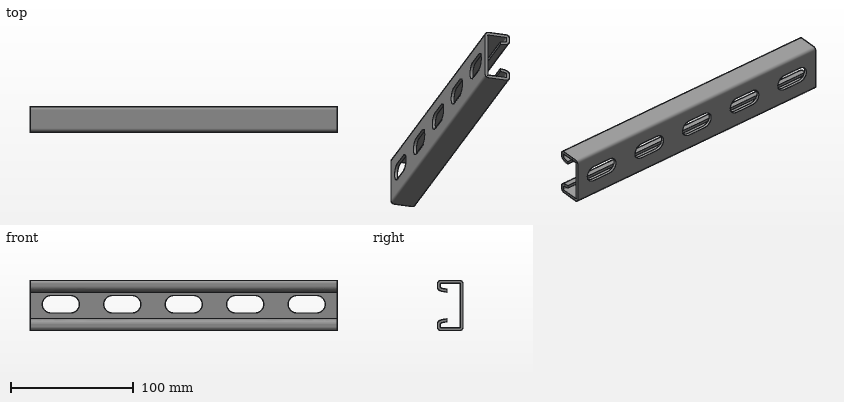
import cadquery as cq
import math

length = 250.0
depth = 21.0
height = 41.0
thickness = 2.5

corner_radius = 3.0
front_inner_radius = corner_radius - thickness

lip_height = 9.8
lip_reach = 8.0
lip_outer_radius = 3.8
lip_inner_radius = lip_outer_radius - thickness
lip_turn = math.radians(80)

slot_count = 5
slot_pitch = length / slot_count
slot_length = 30.0
slot_width = 14.0
slot_center_z = 1.0

front_y = -depth / 2
back_y = depth / 2
top_z = height / 2
tip_y = front_y + lip_reach
tip_z = top_z - lip_height

bend_y = front_y + lip_outer_radius
run_start_y = bend_y - lip_outer_radius * math.cos(lip_turn)
run_drop = (tip_y - run_start_y) / math.tan(lip_turn)
bend_z = tip_z + run_drop + lip_outer_radius * math.sin(lip_turn)


def on_lip_bend(radius, angle):
    """Point on the lip bend, with the angle measured from the front face."""
    return bend_y - radius * math.cos(angle), bend_z - radius * math.sin(angle)


def make_upper_half():
    """Extrude the half of the channel section that lies above its midplane."""
    inner_front_y = front_y + thickness
    inner_back_y = back_y - thickness
    inner_top_z = top_z - thickness
    inner_run_start = on_lip_bend(lip_inner_radius, lip_turn)
    inner_tip_z = inner_run_start[1] - (tip_y - inner_run_start[0]) / math.tan(lip_turn)
    run_direction = (math.sin(lip_turn), -math.cos(lip_turn))
    back_direction = (-math.sin(lip_turn), math.cos(lip_turn))

    outer_lip = [
        on_lip_bend(lip_outer_radius, lip_turn / 2),
        on_lip_bend(lip_outer_radius, lip_turn),
        (tip_y, tip_z),
    ]
    inner_lip = [
        inner_run_start,
        on_lip_bend(lip_inner_radius, lip_turn / 2),
        (inner_front_y, bend_z),
    ]
    corner_inset = corner_radius * (1 - math.sqrt(0.5))
    inner_inset = front_inner_radius * (1 - math.sqrt(0.5))

    section = (
        cq.Workplane("YZ", origin=(-length / 2, 0, 0))
        .moveTo(back_y, 0)
        .lineTo(back_y, top_z - corner_radius)
        .threePointArc((back_y - corner_inset, top_z - corner_inset), (back_y - corner_radius, top_z))
        .lineTo(front_y + corner_radius, top_z)
        .threePointArc((front_y + corner_inset, top_z - corner_inset), (front_y, top_z - corner_radius))
        .lineTo(front_y, bend_z)
        .spline(outer_lip, tangents=[(0, -1), run_direction], includeCurrent=True)
        .lineTo(tip_y, inner_tip_z)
        .spline(inner_lip, tangents=[back_direction, (0, 1)], includeCurrent=True)
        .lineTo(inner_front_y, inner_top_z - front_inner_radius)
        .threePointArc(
            (inner_front_y + inner_inset, inner_top_z - inner_inset),
            (inner_front_y + front_inner_radius, inner_top_z),
        )
        .lineTo(inner_back_y, inner_top_z)
        .lineTo(inner_back_y, 0)
        .close()
    )
    return section.extrude(length)


def make_slots():
    """Row of round-ended cutters that pass through the web only."""
    return (
        cq.Workplane("XZ", origin=(0, back_y, slot_center_z))
        .rarray(slot_pitch, 2.5, slot_count, 1)
        .slot2D(slot_length, slot_width)
        .extrude(thickness)
    )


upper_half = make_upper_half()
channel = upper_half.union(upper_half.mirror("XY")).clean()
result = channel.cut(make_slots())